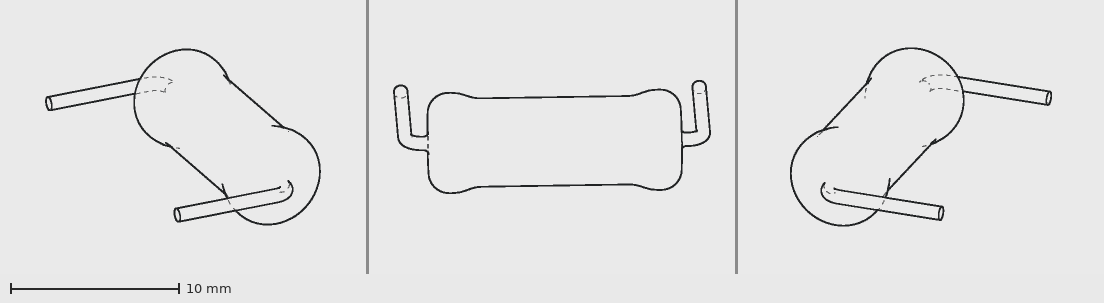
import cadquery as cq
import math

lead_span = 18.58
lead_reach = 7.5
wire_radius = 0.4
bend_radius = 0.97

body_length = 15.01
cap_radius = 3.0
barrel_radius = 2.64
end_face_radius = 2.05
end_round_radius = 1.23
cap_band = 0.22
neck_length = 1.75
crown_share = 0.485
meniscus = 0.3

body_half = body_length / 2
lead_x = lead_span / 2 - wire_radius


def make_body():
    """Revolve half of the lengthwise outline about the X axis."""
    round_centre_radius = cap_radius - end_round_radius
    face_angle = math.asin((end_face_radius - round_centre_radius) / end_round_radius)
    band_outer = body_half - end_round_radius * math.cos(face_angle)
    band_inner = band_outer - cap_band
    barrel_half = band_inner - neck_length
    middle_angle = (math.pi / 2 + face_angle) / 2
    round_middle = (
        band_outer + end_round_radius * math.cos(middle_angle),
        round_centre_radius + end_round_radius * math.sin(middle_angle),
    )

    neck_drop = cap_radius - barrel_radius
    neck_split = (
        band_inner - crown_share * neck_length,
        cap_radius - crown_share * neck_drop,
    )

    half_body = (
        cq.Workplane("XY")
        .lineTo(0, barrel_radius)
        .lineTo(barrel_half, barrel_radius)
        .tangentArcPoint(neck_split, relative=False)
        .tangentArcPoint((band_inner, cap_radius), relative=False)
        .lineTo(band_outer, cap_radius)
        .threePointArc(round_middle, (body_half, end_face_radius))
        .lineTo(body_half, 0)
        .close()
        .revolve(360, (0, 0, 0), (1, 0, 0))
    )
    return half_body.union(half_body.mirror("YZ"))


def make_meniscus():
    """Concave collar around the +X lead, with the wire filling its middle."""
    arc_offset = meniscus * (1 - math.sqrt(0.5))
    return (
        cq.Workplane("XY")
        .moveTo(body_half, 0)
        .lineTo(body_half, wire_radius + meniscus)
        .threePointArc(
            (body_half + arc_offset, wire_radius + arc_offset),
            (body_half + meniscus, wire_radius),
        )
        .lineTo(body_half + meniscus, 0)
        .close()
        .revolve(360, (0, 0, 0), (1, 0, 0))
    )


def make_lead():
    """Sweep the wire out of the +X end and round the bend toward -Y."""
    bend_start = lead_x - bend_radius
    path = (
        cq.Workplane("XY")
        .moveTo(body_half, 0)
        .lineTo(bend_start, 0)
        .tangentArcPoint((lead_x, -bend_radius), relative=False)
        .lineTo(lead_x, -lead_reach)
    )
    return cq.Workplane("YZ", origin=(body_half, 0, 0)).circle(wire_radius).sweep(path)


right_lead = make_lead().union(make_meniscus())
left_lead = right_lead.mirror("YZ")
result = make_body().union(right_lead).union(left_lead)